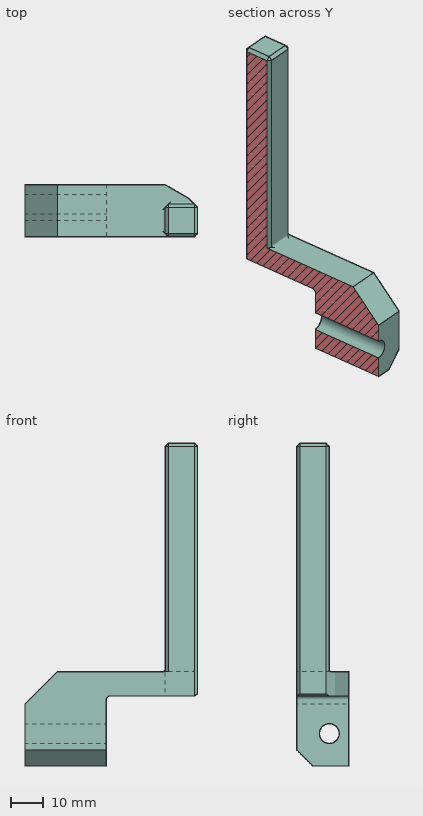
import cadquery as cq
import math

length = 53.0
depth = 16.0
height = 99.0

block_length = 25.0
arm_top = 29.0
arm_thickness = 7.5
arm_bottom = arm_top - arm_thickness
shoulder_chamfer = 10.0
inner_corner_radius = 1.2
foot_chamfer = 5.0

end_chamfer_run = 1.0
end_chamfer_rise = 0.7

post_side = 10.0
post_chamfer = 1.0
post_left = length - post_side
post_base_radius = 0.6

arm_taper_angle = math.radians(30.0)

hole_diameter = 6.0
hole_y = 10.0
hole_z = 10.0


def make_body():
    """Block and arm as one side profile extruded over the full depth."""
    profile = [
        (0, 0),
        (block_length, 0),
        (block_length, arm_bottom),
        (length - end_chamfer_run, arm_bottom),
        (length, arm_bottom + end_chamfer_rise),
        (length, arm_top),
        (shoulder_chamfer, arm_top),
        (0, arm_top - shoulder_chamfer),
    ]
    body = cq.Workplane("XZ").polyline(profile).close().extrude(-depth)
    inner_corner = cq.selectors.NearestToPointSelector((block_length, depth / 2, arm_bottom))
    body = body.edges("|Y").edges(inner_corner).fillet(inner_corner_radius)
    return body.edges("|X and <Y and <Z").chamfer(foot_chamfer)


def make_plan_envelope():
    """Prism of the plan outline, with the tapered and chamfered arm end."""
    taper_slope = math.tan(arm_taper_angle)
    chamfer_sum = length + post_side - post_chamfer
    bend_x = (chamfer_sum - depth - taper_slope * post_left) / (1 - taper_slope)
    outline = [
        (0, 0),
        (length - post_chamfer, 0),
        (length, post_chamfer),
        (length, post_side - post_chamfer),
        (bend_x, chamfer_sum - bend_x),
        (post_left, depth),
        (0, depth),
    ]
    return cq.Workplane("XY").polyline(outline).close().extrude(height)


def make_post():
    """Square post with chamfered long edges and a chamfered top."""
    post = (
        cq.Workplane("XY", origin=(post_left, 0, arm_top))
        .rect(post_side, post_side, centered=False)
        .extrude(height - arm_top)
    )
    return post.edges("|Z or >Z").chamfer(post_chamfer)


def make_base_strip(plane_name, origin, outward, run):
    """Concave fillet strip at the foot of one post side.

    outward is the direction, +1 or -1, in which the strip spreads over the arm;
    run is the signed extrusion length along the post side.
    """
    radius = post_base_radius
    arc_middle = radius * (1 - math.sqrt(0.5))
    return (
        cq.Workplane(plane_name, origin=origin)
        .lineTo(outward * radius, 0)
        .threePointArc((outward * arc_middle, arc_middle), (0, radius))
        .close()
        .extrude(run)
    )


def make_base_fillets():
    """Fillets at the foot of the left and rear post sides, ending on the post's chamfer planes."""
    left = make_base_strip("XZ", (post_left, 0, arm_top), -1, -post_side)
    rear = make_base_strip("YZ", (post_left, post_side, arm_top), 1, post_side)
    half_diagonal = post_side - post_chamfer
    chamfer_planes = (
        cq.Workplane("XY", origin=(post_left + post_side / 2, post_side / 2, arm_top))
        .polyline([(half_diagonal, 0), (0, half_diagonal), (-half_diagonal, 0), (0, -half_diagonal)])
        .close()
        .extrude(post_base_radius)
    )
    return left.union(rear).intersect(chamfer_planes)


def make_hole():
    """Cutter for the cross hole."""
    return cq.Workplane("YZ").center(hole_y, hole_z).circle(hole_diameter / 2).extrude(block_length)


arm = make_body().intersect(make_plan_envelope())
result = arm.union(make_post()).union(make_base_fillets()).cut(make_hole())